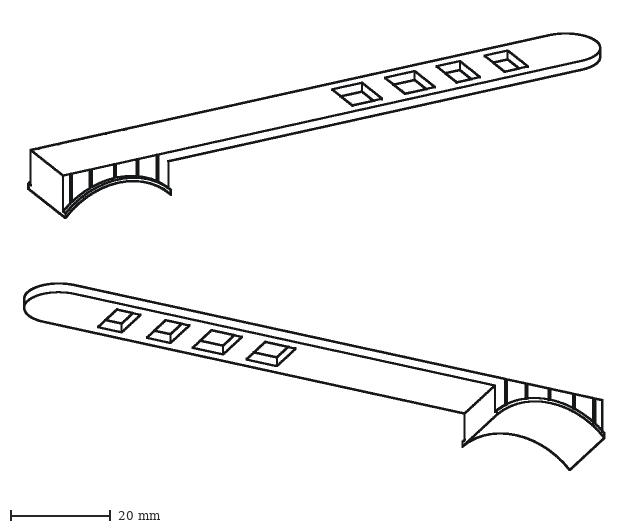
import cadquery as cq
import math

LENGTH = 125.0
HEIGHT = 9.0
STRAP_WIDTH = 14.0
STRAP_THICKNESS = 2.0
TIP_RADIUS = STRAP_WIDTH / 2

SADDLE_LENGTH = 24.0
SADDLE_RADIUS = 16.4
SADDLE_MID_Y = SADDLE_LENGTH / 2
SADDLE_AXIS_Z = -math.sqrt(SADDLE_RADIUS**2 - SADDLE_MID_Y**2)

FLANGE_WIDTH = 16.0
FLANGE_THICKNESS = 0.75

WINDOW_WIDTH = 8.7
WINDOWS = [(70.6, 6.8), (82.6, 6.8), (93.6, 5.3), (104.5, 5.3)]

GROOVE_WIDTH = 0.5
GROOVE_DEPTH = 0.1
GROOVE_CENTRES = [1.8, 6.3, 11.8, 16.9, 21.5]


def centred_box(width, y_start, length):
    """Full-height box centred on X = 0, starting at the given Y."""
    box = cq.Workplane("XY").box(width, length, HEIGHT, centered=(True, False, False))
    return box.translate((0, y_start, 0))


def saddle_cylinder(radius):
    """Cylinder along X on the saddle axis, as wide as the flange."""
    profile = cq.Workplane("YZ").center(SADDLE_MID_Y, SADDLE_AXIS_Z).circle(radius)
    return profile.extrude(FLANGE_WIDTH / 2, both=True)


def make_strap():
    """Flat strap with a full-round tip at the +Y end."""
    half_width = STRAP_WIDTH / 2
    straight_end = LENGTH - TIP_RADIUS
    return (
        cq.Workplane("XY", origin=(0, 0, HEIGHT - STRAP_THICKNESS))
        .moveTo(-half_width, 0)
        .lineTo(half_width, 0)
        .lineTo(half_width, straight_end)
        .threePointArc((0, LENGTH), (-half_width, straight_end))
        .close()
        .extrude(STRAP_THICKNESS)
    )


def cut_windows(body):
    """Cut the row of windows through the strap."""
    for centre_y, length in WINDOWS:
        body = body.cut(centred_box(WINDOW_WIDTH, centre_y - length / 2, length))
    return body


def cut_side_grooves(body):
    """Cut the V-grooves over the full height of both block sides."""
    for centre_y in GROOVE_CENTRES:
        for side in (-1, 1):
            face_x = side * STRAP_WIDTH / 2
            groove = (
                cq.Workplane("XY")
                .moveTo(face_x, centre_y - GROOVE_WIDTH / 2)
                .lineTo(face_x - side * GROOVE_DEPTH, centre_y)
                .lineTo(face_x, centre_y + GROOVE_WIDTH / 2)
                .close()
                .extrude(HEIGHT)
            )
            body = body.cut(groove)
    return body


def make_flange():
    """Curved flange; the saddle bore that forms its underside is cut later."""
    outer = saddle_cylinder(SADDLE_RADIUS + FLANGE_THICKNESS)
    return centred_box(FLANGE_WIDTH, 0, SADDLE_LENGTH).intersect(outer)


block = centred_box(STRAP_WIDTH, 0, SADDLE_LENGTH)
strap_and_block = cut_side_grooves(cut_windows(make_strap()).union(block))
result = strap_and_block.union(make_flange()).cut(saddle_cylinder(SADDLE_RADIUS))